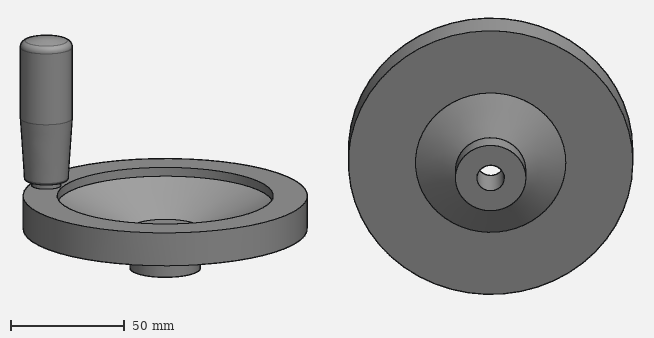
import cadquery as cq
import math

overall_length = 129.0
wheel_radius = 125.0 / 2
rim_inner_radius = 47.5
rim_height = 15.0
rim_bottom = 18.0
rim_top = rim_bottom + rim_height
rim_wall_depth = 4.0
hub_radius = 15.5
hub_foot_height = 9.0
hub_top = 18.0
hub_boss_height = 3.0
web_outer_radius = 33.0
bore_diameter = 12.0

grip_radius = 11.5
handle_offset = overall_length - wheel_radius - grip_radius
neck_radius = 6.5
neck_height = 2.6
grip_foot_radius = 9.7
grip_foot_round = 0.9
grip_bottom = rim_top + neck_height
taper_top = 63.7
shoulder_bottom = 96.0
dome_radius = 9.3
dome_bottom = 99.0
handle_top = 100.5


def make_wheel():
    profile = (
        cq.Workplane("XZ")
        .lineTo(hub_radius, 0)
        .lineTo(hub_radius, hub_foot_height)
        .lineTo(web_outer_radius, rim_bottom)
        .lineTo(wheel_radius, rim_bottom)
        .lineTo(wheel_radius, rim_top)
        .lineTo(rim_inner_radius, rim_top)
        .lineTo(rim_inner_radius, rim_top - rim_wall_depth)
        .lineTo(hub_radius, hub_top - hub_boss_height)
        .lineTo(hub_radius, hub_top)
        .lineTo(0, hub_top)
        .close()
    )
    wheel = profile.revolve(360, (0, 0), (0, 1))
    bore = cq.Workplane("XY").circle(bore_diameter / 2).extrude(hub_top)
    return wheel.cut(bore)


def make_handle():
    dome_height = handle_top - dome_bottom
    sphere_radius = (dome_radius**2 + dome_height**2) / (2 * dome_height)
    half_angle = math.asin(dome_radius / sphere_radius) / 2
    dome_mid = (
        sphere_radius * math.sin(half_angle),
        handle_top - sphere_radius * (1 - math.cos(half_angle)),
    )
    profile = (
        cq.Workplane("XZ")
        .moveTo(0, rim_bottom)
        .lineTo(neck_radius, rim_bottom)
        .lineTo(neck_radius, grip_bottom)
        .lineTo(grip_foot_radius - grip_foot_round, grip_bottom)
        .tangentArcPoint((grip_foot_radius, grip_bottom + grip_foot_round), relative=False)
        .lineTo(grip_radius, taper_top)
        .lineTo(grip_radius, shoulder_bottom)
        .tangentArcPoint((dome_radius, dome_bottom), relative=False)
        .threePointArc(dome_mid, (0, handle_top))
        .close()
    )
    handle = profile.revolve(360, (0, 0), (0, 1))
    return handle.translate((-handle_offset, 0, 0))


result = make_wheel().union(make_handle())